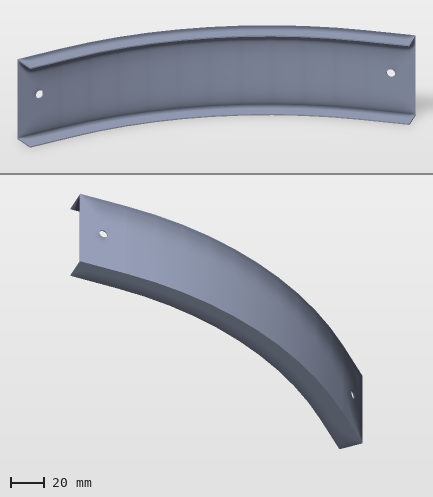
import cadquery as cq
import math

overall_length = 221.5
height = 52.0
flange_width = 14.8
sheet_thickness = 0.8
leg_length = 30.1
bend_angle = 45.0
hole_diameter = 5.0

bend_sin = math.sin(math.radians(bend_angle))
bend_cos = math.cos(math.radians(bend_angle))
outer_radius = (overall_length - leg_length * (1 + bend_cos)) / bend_sin


def curved_strip(depth, strip_height):
    """Solid strip reaching from the outer path to the given depth inside it."""
    inner_radius = outer_radius - depth

    def arc_point(radius, angle):
        turn = math.radians(angle)
        return (outer_radius - radius * math.cos(turn), leg_length + radius * math.sin(turn))

    def leg_end(radius):
        x, y = arc_point(radius, bend_angle)
        return (x + leg_length * bend_sin, y + leg_length * bend_cos)

    return (
        cq.Workplane("XY")
        .moveTo(0, 0)
        .lineTo(*arc_point(outer_radius, 0))
        .threePointArc(arc_point(outer_radius, bend_angle / 2), arc_point(outer_radius, bend_angle))
        .lineTo(*leg_end(outer_radius))
        .lineTo(*leg_end(inner_radius))
        .lineTo(*arc_point(inner_radius, bend_angle))
        .threePointArc(arc_point(inner_radius, bend_angle / 2), arc_point(inner_radius, 0))
        .lineTo(depth, 0)
        .close()
        .extrude(strip_height / 2, both=True)
    )


def web_hole(distance_along_leg):
    """Cutter through the web of the first leg, at mid height."""
    return (
        cq.Workplane("YZ")
        .center(distance_along_leg, 0)
        .circle(hole_diameter / 2)
        .extrude(2 * sheet_thickness, both=True)
    )


web = curved_strip(sheet_thickness, height)
full_strip = curved_strip(flange_width, height)
space_between_flanges = curved_strip(flange_width, height - 2 * sheet_thickness)
channel = full_strip.cut(space_between_flanges).union(web)

first_hole = web_hole(leg_length / 2)
second_hole = web_hole(leg_length + leg_length / 2).rotate(
    (outer_radius, leg_length, 0), (outer_radius, leg_length, 1), -bend_angle
)

result = channel.cut(first_hole).cut(second_hole)